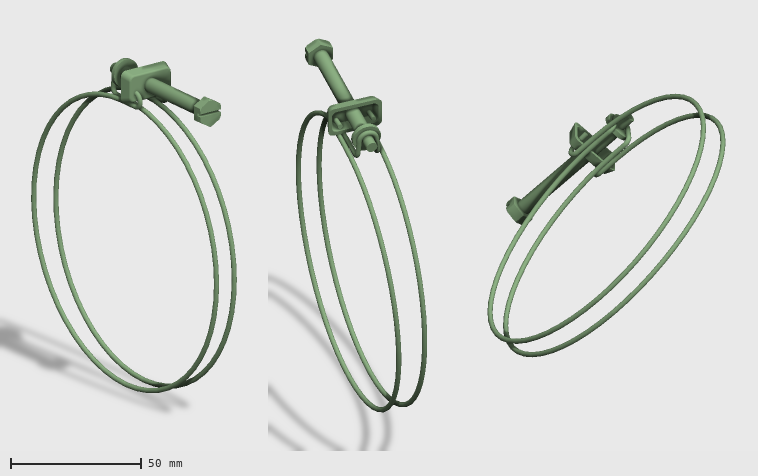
import math
import cadquery as cq


wire_diameter = 2.0
ring_outer_diameter = 119.0
ring_radius = (ring_outer_diameter - wire_diameter) / 2
inner_strand_y = 4.2
outer_strand_y = 6.4
hook_start_x = 9.1
hook_diameter = 6.0
hook_radius = hook_diameter / 2
hook_sweep = 171.0
hook_end_x = 3.6
hook_lean = 4.0
loop_x = -8.6
loop_diameter = 7.0
loop_radius = loop_diameter / 2
bend_radius = 2.6

axis_z = 66.3
tip_diameter = 4.4
shaft_diameter = 6.0
flange_diameter = 11.5
flange_thickness = 1.9
head_across_flats = 9.9
head_thickness = 4.2
head_chamfer_drop = 0.46
slot_width = 1.2
slot_depth = 1.7
tip_end_x = -13.4
flange_x = loop_x + wire_diameter / 2
head_x = 44.7

plate_x = 5.7
plate_thickness = 4.4
plate_width = 22.0
plate_height = 13.1
plate_corner_radius = 2.4
plate_taper = 15.0
plate_edge_fillet = 0.8
pocket_width = 19.0
pocket_height = 9.8
pocket_corner_radius = 2.4
pocket_depth = 3.3
pocket_taper = 20.0


def side_path(side):
    """Centreline edges on one side (+1 or -1 in Y), from the hook end to the top of the loop."""

    def hook_point(x, height):
        lean = math.radians(hook_lean)
        y = outer_strand_y + height * math.sin(lean)
        return cq.Vector(x, side * y, ring_radius + height * math.cos(lean))

    def on_hook(angle):
        turn = math.radians(angle)
        x = hook_start_x + hook_radius * math.sin(turn)
        return hook_point(x, hook_radius * (1 - math.cos(turn)))

    tangent_slope = math.tan(math.radians(180 - hook_sweep))
    arc_end_turn = math.radians(hook_sweep)
    arc_end_x = hook_start_x + hook_radius * math.sin(arc_end_turn)
    arc_end_height = hook_radius * (1 - math.cos(arc_end_turn))
    free_end = hook_point(hook_end_x, arc_end_height + (arc_end_x - hook_end_x) * tangent_slope)

    ring_top_outer = cq.Vector(0, side * outer_strand_y, ring_radius)
    ring_bottom = cq.Vector(0, side * inner_strand_y, -ring_radius)
    tilted_radius = (ring_top_outer - ring_bottom).Length / 2
    ring_left = (ring_top_outer + ring_bottom) * 0.5 - cq.Vector(tilted_radius, 0, 0)
    ring_right = cq.Vector(ring_radius, side * inner_strand_y, 0)
    ring_top_inner = cq.Vector(0, side * inner_strand_y, ring_radius)

    drop = axis_z - ring_radius
    leg_lean = math.acos(loop_radius / math.hypot(inner_strand_y, drop)) - math.atan2(drop, inner_strand_y)

    def leg_point(x, height):
        y = inner_strand_y - height * math.sin(leg_lean)
        return cq.Vector(x, side * y, ring_radius + height * math.cos(leg_lean))

    def on_bend(angle):
        turn = math.radians(angle)
        x = loop_x + bend_radius * (1 - math.sin(turn))
        return leg_point(x, bend_radius * (1 - math.cos(turn)))

    def on_loop(angle):
        y = loop_radius * math.cos(angle)
        return cq.Vector(loop_x, side * y, axis_z + loop_radius * math.sin(angle))

    line = cq.Edge.makeLine
    arc = cq.Edge.makeThreePointArc
    loop_mid_angle = (leg_lean + math.pi / 2) / 2
    return [
        line(free_end, on_hook(hook_sweep)),
        arc(on_hook(hook_sweep), on_hook(hook_sweep / 2), on_hook(0)),
        line(on_hook(0), ring_top_outer),
        arc(ring_top_outer, ring_left, ring_bottom),
        arc(ring_bottom, ring_right, ring_top_inner),
        line(ring_top_inner, on_bend(0)),
        arc(on_bend(0), on_bend(45), on_bend(90)),
        line(on_bend(90), on_loop(leg_lean)),
        arc(on_loop(leg_lean), on_loop(loop_mid_angle), on_loop(math.pi / 2)),
    ]


def make_clamp_wire():
    """One wire: a hook and a ring on each side, joined by the loop over the bolt tip."""
    halves = []
    for side in (-1, 1):
        path = cq.Wire.assembleEdges(side_path(side))
        section = cq.Plane(origin=path.startPoint(), normal=path.tangentAt(0))
        halves.append(cq.Workplane(section).circle(wire_diameter / 2).sweep(cq.Workplane(path)))
    return halves[0].union(halves[1])


def cross_section(x):
    """Workplane across the bolt axis at x, with local x along Y and local y along Z."""
    return cq.Workplane("YZ", origin=(x, 0, axis_z))


def make_bolt():
    """Bolt with a reduced tip, a flange against the wire loop and a slotted hexagon head."""
    tip = cross_section(tip_end_x).circle(tip_diameter / 2).extrude(flange_x - tip_end_x)
    flange = cross_section(flange_x).circle(flange_diameter / 2).extrude(flange_thickness)
    shaft = cross_section(flange_x).circle(shaft_diameter / 2).extrude(head_x - flange_x)
    return tip.union(flange).union(shaft).union(make_head())


def make_head():
    """Hexagon with corners up and down, its outer corners turned off, slotted along Y."""
    across_corners = head_across_flats / math.cos(math.pi / 6)
    hexagon = (
        cross_section(head_x)
        .transformed(rotate=(0, 0, 90))
        .polygon(6, across_corners)
        .extrude(head_thickness)
    )
    turned_blank = (
        cross_section(head_x)
        .circle(across_corners / 2)
        .extrude(head_thickness)
        .faces(">X")
        .chamfer(head_chamfer_drop)
    )
    slot_floor = cross_section(head_x + head_thickness - slot_depth)
    slot = slot_floor.rect(across_corners, slot_width).extrude(slot_depth)
    return hexagon.intersect(turned_blank).cut(slot)


def tapered_block(width, height, depth, taper, corner_radius):
    """Block narrowing from the plate face towards +X, with its four sloping edges rounded alike."""
    return (
        cross_section(plate_x)
        .rect(width, height)
        .extrude(depth, taper=taper)
        .edges("not(|Y or |Z)")
        .fillet(corner_radius)
    )


def make_nut_plate():
    """Tapered plate with a pocket towards -X and a bore for the bolt."""
    blank = tapered_block(plate_width, plate_height, plate_thickness, plate_taper, plate_corner_radius)
    blank = blank.faces(">X").edges().fillet(plate_edge_fillet)
    pocket = tapered_block(pocket_width, pocket_height, pocket_depth, pocket_taper, pocket_corner_radius)
    bore = cross_section(plate_x).circle(shaft_diameter / 2).extrude(plate_thickness)
    return blank.cut(pocket).cut(bore)


clamp_wire = make_clamp_wire()
bolt = make_bolt()
nut_plate = make_nut_plate().cut(clamp_wire)

bodies = [clamp_wire, bolt, nut_plate]
result = cq.Compound.makeCompound([body.solids().val() for body in bodies])